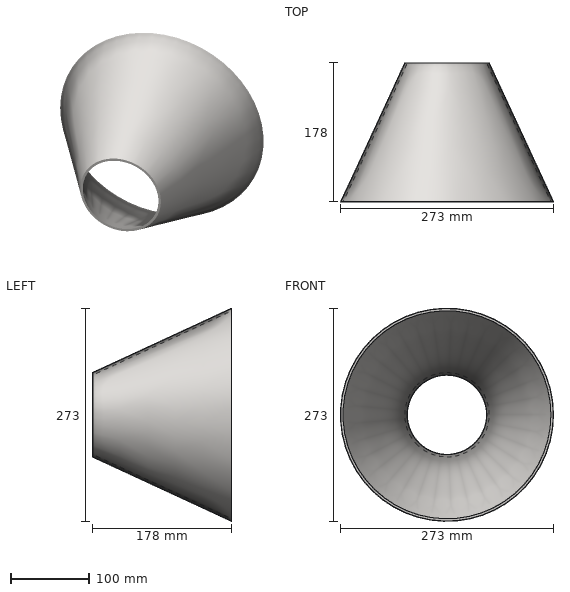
import cadquery as cq

wide_diameter = 273.0
narrow_diameter = 108.0
length = 178.0
rim_width = 3.3

wide_radius = wide_diameter / 2
narrow_radius = narrow_diameter / 2
wide_end_y = -length / 2
narrow_end_y = length / 2


def conical_shell():
    """Revolve the slanted wall section a full turn about the Y axis."""
    wall_section = [
        (wide_radius - rim_width, wide_end_y),
        (wide_radius, wide_end_y),
        (narrow_radius, narrow_end_y),
        (narrow_radius - rim_width, narrow_end_y),
    ]
    axis_start = (0, 0, 0)
    axis_end = (0, 1, 0)
    return cq.Workplane("XY").polyline(wall_section).close().revolve(360, axis_start, axis_end)


result = conical_shell()